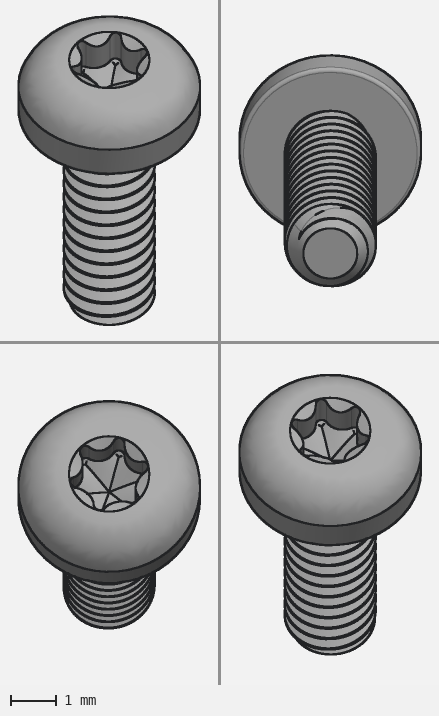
import cadquery as cq
import math

total_height = 7.6

head_radius = 2.0
head_height = 1.595
dome_height = 0.8
head_edge_fillet = 0.09
head_bottom = total_height - head_height

major_radius = 1.0
minor_radius = 0.745
turns_on_shank = 15
pitch = head_bottom / turns_on_shank
crest_width = 0.05
flank_angle = 30.0
tip_radius = 0.59
root_start = -0.26
groove_overrun = 0.02
tip_height = major_radius - tip_radius

lobe_count = 6
mouth_radius = 0.88
lobe_reach = 0.875
valley_reach = 0.62
lobe_radius = 0.13
wall_depth = 0.805
cone_angle = 30.0
cone_slope = math.tan(math.radians(cone_angle))
lobe_offset = lobe_reach - lobe_radius
lobe_step = 360 / lobe_count
half_step_cos = math.cos(math.radians(lobe_step / 2))
valley_radius = (
    lobe_offset**2 + valley_reach**2 - 2 * lobe_offset * valley_reach * half_step_cos - lobe_radius**2
) / (2 * (lobe_radius - valley_reach + lobe_offset * half_step_cos))
valley_offset = valley_reach + valley_radius


def polar(radius, degrees):
    angle = math.radians(degrees)
    return radius * math.cos(angle), radius * math.sin(angle)


def make_head():
    dome_run = head_radius - mouth_radius
    dome_radius = (dome_run**2 + dome_height**2) / (2 * dome_height)
    half_turn = math.asin(dome_run / dome_radius) / 2
    dome_middle = (
        mouth_radius + dome_radius * math.sin(half_turn),
        total_height - dome_radius * (1 - math.cos(half_turn)),
    )
    outline = (
        cq.Workplane("XZ")
        .moveTo(0, head_bottom)
        .lineTo(head_radius, head_bottom)
        .lineTo(head_radius, total_height - dome_height)
        .threePointArc(dome_middle, (mouth_radius, total_height))
        .lineTo(0, total_height)
        .close()
    )
    return outline.revolve().faces("<Z").edges().fillet(head_edge_fillet)


def make_shank():
    rod = (
        cq.Workplane("XY")
        .workplane(offset=-2 * pitch)
        .circle(major_radius)
        .extrude(head_bottom + 4 * pitch)
    )

    flank_slope = math.tan(math.radians(flank_angle))
    outer_radius = major_radius + groove_overrun
    outer_half = (pitch - crest_width) / 2 + groove_overrun * flank_slope
    root_half = outer_half - (outer_radius - minor_radius) * flank_slope
    groove_length = head_bottom - root_start + pitch / 2
    helix = cq.Wire.makeHelix(pitch, groove_length, minor_radius).translate(cq.Vector(0, 0, root_start))
    groove = (
        cq.Workplane("XZ")
        .polyline([
            (minor_radius, root_start - root_half),
            (outer_radius, root_start - outer_half),
            (outer_radius, root_start + outer_half),
            (minor_radius, root_start + root_half),
        ])
        .close()
        .sweep(cq.Workplane(helix), isFrenet=True)
    )

    envelope = cq.Workplane("XY").circle(major_radius).extrude(head_bottom)
    envelope = envelope.faces("<Z").chamfer(tip_height)
    return rod.cut(groove).intersect(envelope)


def cone(bottom_radius, top_radius, centre, bottom, height):
    base = cq.Vector(centre[0], centre[1], bottom)
    return cq.Workplane(cq.Solid.makeCone(bottom_radius, top_radius, height, base))


def make_recess():
    wall_bottom = total_height - wall_depth
    floor_depth = valley_reach * cone_slope
    apex = wall_bottom - floor_depth
    lobe_angles = [i * lobe_step for i in range(lobe_count)]
    lobe_centres = [polar(lobe_offset, a) for a in lobe_angles]
    valley_centres = [polar(valley_offset, a + lobe_step / 2) for a in lobe_angles]

    star = [point for pair in zip(lobe_centres, valley_centres) for point in pair]
    recess = cq.Workplane("XY").workplane(offset=apex).polyline(star).close().extrude(total_height - apex)

    for centre in valley_centres:
        wall = cq.Workplane("XY", origin=(*centre, wall_bottom)).circle(valley_radius).extrude(wall_depth)
        floor = cone(valley_offset, valley_radius, centre, apex, floor_depth)
        recess = recess.cut(wall.union(floor))

    lobe_end_depth = lobe_radius * cone_slope
    for centre in lobe_centres:
        wall = cq.Workplane("XY", origin=(*centre, wall_bottom)).circle(lobe_radius).extrude(wall_depth)
        end = cone(0, lobe_radius, centre, wall_bottom - lobe_end_depth, lobe_end_depth)
        recess = recess.union(wall.union(end))

    countersink_depth = mouth_radius * cone_slope
    countersink = cone(0, mouth_radius, (0, 0), total_height - countersink_depth, countersink_depth)
    return recess.union(countersink)


result = make_head().cut(make_recess()).union(make_shank())